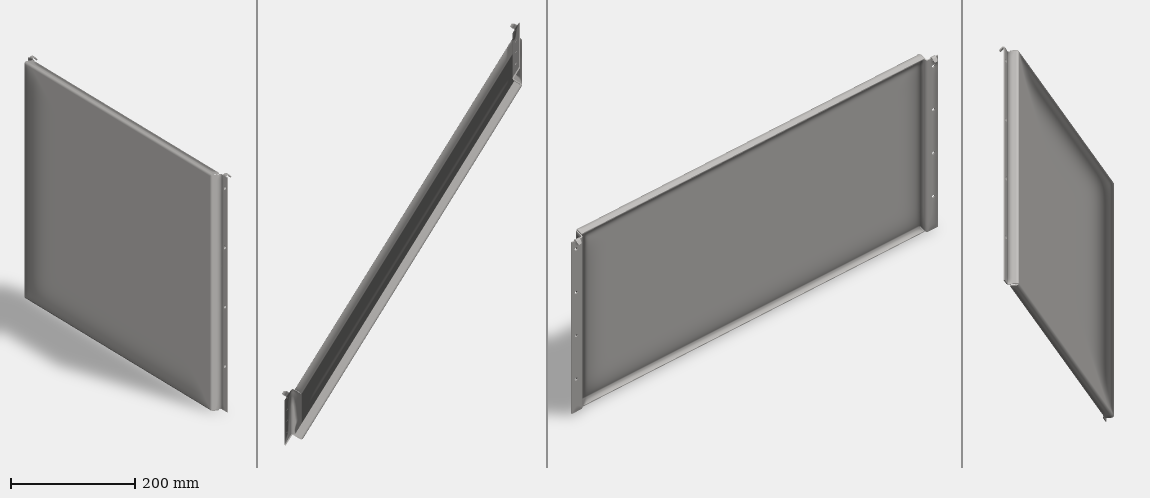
import cadquery as cq
import math

thickness = 2.0
inner_radius = 2.0
outer_radius = inner_radius + thickness
corner_gap = 0.35

pan_width = 682.0
pan_height = 400.0
pan_depth = 20.0
end_wall_depth = 15.0

flange_reach = 21.0
side_height = pan_height - 2 * (thickness + corner_gap)
flange_front = pan_depth - thickness
half_width = pan_width / 2
half_overall = half_width + flange_reach
half_side = side_height / 2

hole_diameter = 6.0
hole_count = 4
hole_pitch = 100.0
top_hole_drop = 20.0
hole_edge_distance = 9.0
hole_x = half_overall - hole_edge_distance

hook_width = 8.0
hook_edge_distance = 10.0
hook_x = half_overall - hook_edge_distance
hook_angle = 135.0
hook_back = 29.45
hook_tip_width = 5.0
hook_taper_length = 4.0


def pan_solid(inset, radius):
    """Block with rounded front edges, inset from the outer skin on five sides."""
    block = cq.Workplane("XY").box(
        pan_width - 2 * inset,
        pan_depth,
        pan_height - 2 * inset,
        centered=(True, False, True),
    )
    return block.translate((0, inset, 0)).faces("<Y").edges().fillet(radius)


def make_pan():
    """Open-backed tray with notched corners and shortened top and bottom walls."""
    tray = pan_solid(0, outer_radius).cut(pan_solid(thickness, inner_radius))

    side_wall_depth = flange_front - inner_radius
    behind_walls = cq.Workplane("XY").box(
        pan_width, pan_depth, pan_height, centered=(True, False, True)
    )
    tray = tray.cut(behind_walls.translate((0, side_wall_depth, 0)))

    behind_ends = cq.Workplane("XY").box(
        pan_width - 2 * thickness, pan_depth, pan_height, centered=(True, False, True)
    )
    tray = tray.cut(behind_ends.translate((0, end_wall_depth, 0)))

    notch = 2 * (thickness + corner_gap)
    corner_notches = (
        cq.Workplane("XZ")
        .rect(pan_width, pan_height, forConstruction=True)
        .vertices()
        .rect(notch, notch)
        .extrude(-pan_depth)
    )
    return tray.cut(corner_notches)


def make_flange():
    """Right-hand flange with the bend that joins it to the side wall."""
    bend_x = half_width + inner_radius
    bend_y = flange_front - inner_radius
    wall_inside = half_width - thickness
    diagonal = math.sqrt(0.5)
    profile = (
        cq.Workplane("XY")
        .moveTo(wall_inside, bend_y)
        .threePointArc(
            (bend_x - outer_radius * diagonal, bend_y + outer_radius * diagonal),
            (bend_x, pan_depth),
        )
        .lineTo(half_overall, pan_depth)
        .lineTo(half_overall, flange_front)
        .lineTo(bend_x, flange_front)
        .threePointArc(
            (bend_x - inner_radius * diagonal, bend_y + inner_radius * diagonal),
            (half_width, bend_y),
        )
        .close()
    )
    flange = profile.extrude(half_side, both=True)

    top_hole_z = half_side - top_hole_drop
    hole_centres = [(hole_x, top_hole_z - i * hole_pitch) for i in range(hole_count)]
    holes = (
        cq.Workplane("XZ")
        .pushPoints(hole_centres)
        .circle(hole_diameter / 2)
        .extrude(-2 * pan_depth)
    )
    return flange.cut(holes)


def make_hook():
    """Right-hand hook: a bend from the flange top edge, then a sloping tab."""
    centre_y = pan_depth + inner_radius
    sheet_middle = flange_front + thickness / 2
    bend_axis = centre_y - sheet_middle
    bend = (
        cq.Workplane("XY")
        .center(hook_x, sheet_middle)
        .rect(hook_width, thickness)
        .revolve(hook_angle, (0, bend_axis), (-1, bend_axis))
        .translate((0, 0, half_side))
    )

    end_angle = math.radians(180 - hook_angle)
    radial = cq.Vector(0, math.cos(end_angle), math.sin(end_angle))
    along = cq.Vector(0, math.sin(end_angle), -math.cos(end_angle))
    outer_end = cq.Vector(hook_x, centre_y, half_side) + radial * outer_radius
    tab_length = (hook_back - outer_end.y) / along.y
    tab_plane = cq.Plane(origin=outer_end, xDir=(1, 0, 0), normal=radial)
    half_hook = hook_width / 2
    half_tip = hook_tip_width / 2
    taper_start = tab_length - hook_taper_length
    tab_outline = [
        (-half_hook, 0),
        (half_hook, 0),
        (half_hook, taper_start),
        (half_tip, tab_length),
        (-half_tip, tab_length),
        (-half_hook, taper_start),
    ]
    tab = cq.Workplane(tab_plane).polyline(tab_outline).close().extrude(-thickness)
    return bend.union(tab)


right_side = make_flange().union(make_hook())
left_side = right_side.mirror("YZ")
result = make_pan().union(right_side).union(left_side)